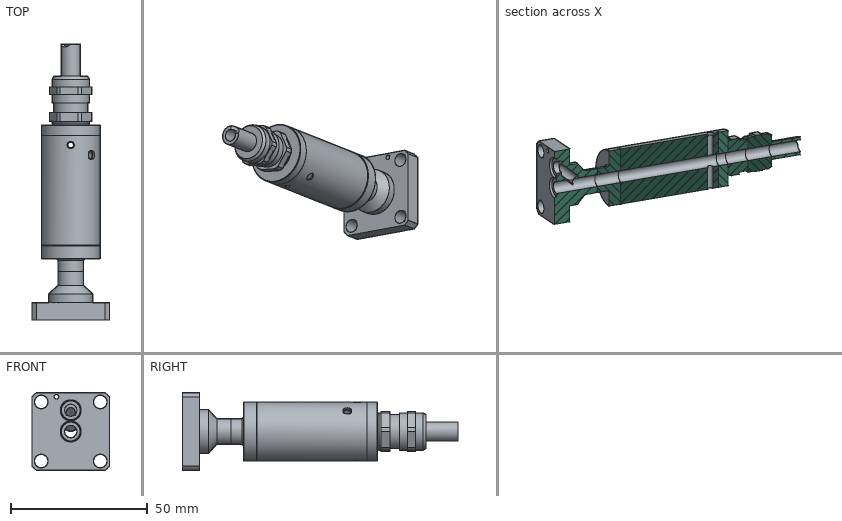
import cadquery as cq
import math

TOTAL_LENGTH = 100.8
FRONT_Y = -TOTAL_LENGTH / 2

PLATE_BACK = 6.4
FLANGE_BACK = 9.6
CONE_BACK = 12.6
HEAD_BACK = 17.7
STEM_BACK = 21.8
CAP_FRONT = 22.3
CAP_BACK = 27.3
BARREL_BACK = 67.5
REAR_CAP_BACK = 71.3
COLLAR_TAPER_BACK = 71.9
BASE_HEX_FRONT = 72.6
BASE_HEX_BACK = 75.8
NECK_BACK = 79.4
NUT_HEX_FRONT = 82.4
NUT_HEX_BACK = 85.2
NUT_ROUND_START = 87.9
NUT_BACK = 89.2

BORE_RADIUS = 2.2
FLANGE_RADIUS = 8.1
STEM_RADIUS = 4.7
STEM_COLLAR_RADIUS = 5.1
HOUSING_RADIUS = 10.8
GLAND_RADIUS = 6.9
COLLAR_FRONT_RADIUS = 6.6
NECK_RADIUS = 6.3
NUT_END_RADIUS = 6.2
CABLE_RADIUS = 3.5
EDGE_CHAMFER = 0.2

PLATE_SIDE = 28.4
PLATE_CORNER = 1.6
MOUNT_HOLE_PITCH = 21.6
MOUNT_HOLE_RADIUS = 2.4
PIN_HOLE_X = -5.2
PIN_HOLE_Z = 12.7
PIN_HOLE_RADIUS = 0.8

UPPER_PORT_Z = 7.8
SEAT_RADIUS = 3.8
SEAT_FLOOR_RADIUS = 3.4
SEAT_DEPTH = 0.8
UPPER_PORT_DEPTH = 3.0

FEED_RADIUS = 1.7
SPOUT_RADIUS = 2.1
FEED_TILT = math.radians(40)
FEED_DROP = 1.2
FEED_START_Z = UPPER_PORT_Z - FEED_DROP
SPOUT_END_Z = SPOUT_RADIUS * math.cos(FEED_TILT)
FEED_LENGTH = (FEED_START_Z - SPOUT_END_Z) / math.sin(FEED_TILT)

HEX_FLATS = 14.1
HEX_CORNER_RADIUS = 7.8
HEX_TURN = 5.2

VENT_HOLE_Y = 63.9
VENT_HOLE_RADIUS = 1.0
VENT_MOUTH_RADIUS = 1.3
SCREW_HOLE_Y = 60.3
SCREW_HOLE_RADIUS = 1.3
SCREW_MOUTH_RADIUS = 1.6
SCREW_HOLE_ANGLE = 45.0
MOUTH_DEPTH = 1.0
DIMPLE_RADIUS = 1.5
DIMPLE_DEPTH = 0.6
CUT_CLEARANCE = 1.0

BREAK_RADIUS = 2.8
BREAK_OFFSET = 2.4
BREAK_DEPTH = 1.1


def at(distance):
    """Y of a point that lies `distance` behind the front face."""
    return FRONT_Y + distance


def turned(profile):
    """Solid of revolution about Y from (radius, distance) corners, closed along the axis."""
    points = [(radius, at(distance)) for radius, distance in profile]
    points = [(0, points[0][1])] + points + [(0, points[-1][1])]
    return cq.Workplane("XY").polyline(points).close().revolve(360, (0, 0), (0, 1))


def rod(radius, start, end, x=0, z=0):
    """Cylinder parallel to Y between two distances."""
    return turned([(radius, start), (radius, end)]).translate((x, 0, z))


def cross_rod(radius, distance, angle, inner, outer):
    """Cylinder square to the Y axis, between two radial distances, leaning `angle` from Z towards +X."""
    cylinder = cq.Workplane("XY", origin=(0, 0, inner)).circle(radius).extrude(outer - inner)
    return cylinder.rotate((0, 0, 0), (0, 1, 0), angle).translate((0, at(distance), 0))


def hexagon(start, end):
    """Hexagonal prism along Y with its corners turned to a cylinder."""
    across_corners = HEX_FLATS / math.cos(math.radians(30))
    prism = cq.Workplane("XZ").polygon(6, across_corners).extrude(start - end)
    prism = prism.rotate((0, 0, 0), (0, 1, 0), -HEX_TURN).translate((0, at(start), 0))
    return prism.intersect(rod(HEX_CORNER_RADIUS, start, end))


def bored(body):
    """The body with the axial bore that runs the full length of the assembly."""
    return body.cut(rod(BORE_RADIUS, 0, TOTAL_LENGTH))


def seal_seat(z):
    """Shallow tapered recess around a port."""
    return turned([(SEAT_RADIUS, 0), (SEAT_FLOOR_RADIUS, SEAT_DEPTH)]).translate((0, 0, z))


def feed_cylinder(radius):
    """Cylinder along the feed, from the floor of the upper port down to the end of the spout."""
    lead = 2 * radius
    cylinder = cq.Workplane("XZ", origin=(0, -lead, 0)).circle(radius).extrude(-lead - FEED_LENGTH)
    cylinder = cylinder.rotate((0, 0, 0), (1, 0, 0), -math.degrees(FEED_TILT))
    cylinder = cylinder.translate((0, at(UPPER_PORT_DEPTH), FEED_START_Z))
    return cylinder.intersect(rod(PLATE_SIDE / 2, UPPER_PORT_DEPTH, HEAD_BACK))


def make_head():
    plate = cq.Workplane("XZ").rect(PLATE_SIDE, PLATE_SIDE).extrude(-PLATE_BACK)
    plate = plate.edges("|Y").chamfer(PLATE_CORNER).translate((0, FRONT_Y, 0))
    for x in (-MOUNT_HOLE_PITCH / 2, MOUNT_HOLE_PITCH / 2):
        for z in (-MOUNT_HOLE_PITCH / 2, MOUNT_HOLE_PITCH / 2):
            plate = plate.cut(rod(MOUNT_HOLE_RADIUS, 0, PLATE_BACK, x, z))
    plate = plate.cut(rod(PIN_HOLE_RADIUS, 0, PLATE_BACK, PIN_HOLE_X, PIN_HOLE_Z))

    shank = turned([
        (FLANGE_RADIUS, PLATE_BACK),
        (FLANGE_RADIUS, FLANGE_BACK),
        (STEM_RADIUS, CONE_BACK),
        (STEM_RADIUS, HEAD_BACK),
    ])
    head = plate.union(shank)
    head = head.cut(rod(BORE_RADIUS, 0, HEAD_BACK).cut(feed_cylinder(SPOUT_RADIUS)))
    for z in (0, UPPER_PORT_Z):
        head = head.cut(seal_seat(z))
    head = head.cut(rod(BORE_RADIUS, 0, UPPER_PORT_DEPTH, z=UPPER_PORT_Z))
    return head.cut(feed_cylinder(FEED_RADIUS))


def make_front_cap():
    return bored(turned([
        (STEM_RADIUS, HEAD_BACK),
        (STEM_RADIUS, STEM_BACK),
        (STEM_COLLAR_RADIUS, CAP_FRONT),
        (HOUSING_RADIUS - EDGE_CHAMFER, CAP_FRONT),
        (HOUSING_RADIUS, CAP_FRONT + EDGE_CHAMFER),
        (HOUSING_RADIUS, CAP_BACK - EDGE_CHAMFER),
        (HOUSING_RADIUS - EDGE_CHAMFER, CAP_BACK),
    ]))


def make_barrel():
    barrel = bored(rod(HOUSING_RADIUS, CAP_BACK, BARREL_BACK))
    outside = HOUSING_RADIUS + CUT_CLEARANCE
    mouth_floor = HOUSING_RADIUS - MOUTH_DEPTH
    dimple_floor = HOUSING_RADIUS - DIMPLE_DEPTH
    dimple_angle = SCREW_HOLE_ANGLE + 180

    barrel = barrel.cut(cross_rod(VENT_HOLE_RADIUS, VENT_HOLE_Y, 0, -outside, outside))
    barrel = barrel.cut(cross_rod(VENT_MOUTH_RADIUS, VENT_HOLE_Y, 0, mouth_floor, outside))

    barrel = barrel.cut(cross_rod(SCREW_HOLE_RADIUS, SCREW_HOLE_Y, SCREW_HOLE_ANGLE, 0, outside))
    barrel = barrel.cut(cross_rod(SCREW_MOUTH_RADIUS, SCREW_HOLE_Y, SCREW_HOLE_ANGLE, mouth_floor, outside))
    return barrel.cut(cross_rod(DIMPLE_RADIUS, SCREW_HOLE_Y, dimple_angle, dimple_floor, outside))


def make_rear_cap():
    return bored(turned([
        (HOUSING_RADIUS, BARREL_BACK),
        (HOUSING_RADIUS, REAR_CAP_BACK - EDGE_CHAMFER),
        (HOUSING_RADIUS - EDGE_CHAMFER, REAR_CAP_BACK),
    ]))


def make_gland_base():
    base = turned([
        (COLLAR_FRONT_RADIUS, REAR_CAP_BACK),
        (GLAND_RADIUS, COLLAR_TAPER_BACK),
        (GLAND_RADIUS, BASE_HEX_FRONT),
        (NECK_RADIUS, BASE_HEX_FRONT),
        (NECK_RADIUS, NECK_BACK),
    ])
    return bored(base.union(hexagon(BASE_HEX_FRONT, BASE_HEX_BACK)))


def make_gland_nut():
    nut = turned([
        (GLAND_RADIUS, NECK_BACK),
        (GLAND_RADIUS, NUT_ROUND_START),
        (NUT_END_RADIUS, NUT_BACK),
    ])
    return bored(nut.union(hexagon(NUT_HEX_FRONT, NUT_HEX_BACK)))


def make_cable():
    cable = bored(rod(CABLE_RADIUS, NUT_BACK, TOTAL_LENGTH))
    scoop = cq.Workplane("XY").sphere(BREAK_RADIUS)
    scoop_y = at(TOTAL_LENGTH - BREAK_DEPTH + BREAK_RADIUS)
    return cable.cut(scoop.translate((-BREAK_OFFSET, scoop_y, BREAK_OFFSET)))


head = make_head()
front_cap = make_front_cap()
barrel = make_barrel()
rear_cap = make_rear_cap()
gland_base = make_gland_base()
gland_nut = make_gland_nut()
cable = make_cable()

bodies = [head, front_cap, barrel, rear_cap, gland_base, gland_nut, cable]
result = cq.Compound.makeCompound([body.val() for body in bodies])